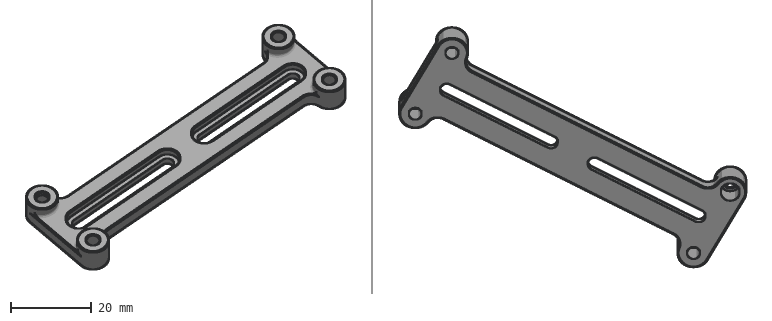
import cadquery as cq
import math

length = 87.4
width = 27.1
height = 7.0

bar_width = 15.0
bar_thickness = 4.0
boss_diameter = 8.0
hole_diameter = 3.2
edge_chamfer = 0.3
wide_bore_diameter = 4.7
wide_bore_roof = 1.2
boss_foot_radius = 1.0
neck_radius = 3.0

slot_width = 3.4
recess_width = 6.1
recess_depth = 2.0
slot_run = 29.7
slot_center_y = 21.1

boss_radius = boss_diameter / 2
boss_x = width / 2 - boss_radius
boss_y = length / 2 - boss_radius

neck_x = bar_width / 2 + neck_radius
neck_drop = math.sqrt((boss_radius + neck_radius) ** 2 - (neck_x - boss_x) ** 2)
neck_y = boss_y - neck_drop
touch_ratio = boss_radius / (boss_radius + neck_radius)
touch_x = boss_x + (neck_x - boss_x) * touch_ratio
touch_y = boss_y - neck_drop * touch_ratio


def neck_middle():
    """Midpoint of the neck arc in the +X +Y corner."""
    touch_angle = math.atan2(touch_y - neck_y, touch_x - neck_x)
    middle_angle = (touch_angle + math.pi) / 2
    return (
        neck_x + neck_radius * math.cos(middle_angle),
        neck_y + neck_radius * math.sin(middle_angle),
    )


def plate_outline():
    """Quarter of the plate; its corner runs to the boss axis, inside the boss."""
    return (
        cq.Workplane("XY")
        .lineTo(0, length / 2)
        .lineTo(boss_x, length / 2)
        .lineTo(boss_x, boss_y)
        .lineTo(touch_x, touch_y)
        .threePointArc(neck_middle(), (bar_width / 2, neck_y))
        .lineTo(bar_width / 2, 0)
        .close()
    )


def is_outer_edge(edge):
    """True for the quarter's edges that stay visible outside the boss."""
    center = edge.Center()
    is_end = abs(center.y - length / 2) < edge_chamfer
    is_side_or_neck = center.x > bar_width / 2 - edge_chamfer and center.y < touch_y
    return is_end or is_side_or_neck


def plate_quarter():
    rims = plate_outline().extrude(bar_thickness).faces("<Z or >Z").edges().filter(is_outer_edge)
    return rims.chamfer(edge_chamfer)


def boss():
    return (
        cq.Workplane("XY")
        .circle(boss_radius)
        .extrude(height)
        .faces("<Z or >Z")
        .edges()
        .chamfer(edge_chamfer)
        .translate((boss_x, boss_y, 0))
    )


def boss_foot():
    """Concave round from plate to boss, kept inside the chamfered rim of the plate top."""
    foot_radius = boss_radius + boss_foot_radius
    foot_top = bar_thickness + boss_foot_radius
    bend = boss_foot_radius * (1 - math.sqrt(0.5))
    foot = (
        cq.Workplane("XZ")
        .moveTo(0, bar_thickness)
        .lineTo(foot_radius, bar_thickness)
        .threePointArc((boss_radius + bend, bar_thickness + bend), (boss_radius, foot_top))
        .lineTo(0, foot_top)
        .close()
        .revolve(360, (0, 0, 0), (0, 1, 0))
        .translate((boss_x, boss_y, 0))
    )
    inside_rim = plate_outline().offset2D(-edge_chamfer).extrude(height)
    return foot.intersect(inside_rim)


def screw_hole_cutter():
    hole_radius = hole_diameter / 2
    mouth_radius = hole_radius + edge_chamfer
    return (
        cq.Workplane("XZ")
        .lineTo(hole_radius, 0)
        .lineTo(hole_radius, height - edge_chamfer)
        .lineTo(mouth_radius, height)
        .lineTo(0, height)
        .close()
        .revolve(360, (0, 0, 0), (0, 1, 0))
        .translate((boss_x, boss_y, 0))
    )


def wide_bore_cutter():
    """Wider bore from below in the -X -Y boss; a thin roof keeps the screw hole size."""
    return (
        cq.Workplane("XY")
        .center(-boss_x, -boss_y)
        .circle(wide_bore_diameter / 2)
        .extrude(height - wide_bore_roof)
    )


def slots(slot_size, bottom, top, taper=0):
    """Round-ended bodies at both slot places; all sizes share the same end centers."""
    return (
        cq.Workplane("XY", origin=(0, 0, bottom))
        .pushPoints([(0, -slot_center_y), (0, slot_center_y)])
        .slot2D(slot_run + slot_size, slot_size, 90)
        .extrude(top - bottom, taper=taper)
    )


def recess_cutter():
    """Wide recesses, each with a 45 degree chamfered mouth at the plate top."""
    step = bar_thickness - recess_depth
    mouth_bottom = bar_thickness - edge_chamfer
    mouths = slots(recess_width, mouth_bottom, bar_thickness, taper=-45)
    return slots(recess_width, step, bar_thickness).union(mouths)


quarter = plate_quarter().union(boss()).union(boss_foot()).cut(screw_hole_cutter())
half = quarter.union(quarter.mirror("YZ"))
body = half.union(half.mirror("XZ"))
body = body.cut(wide_bore_cutter())
result = body.cut(slots(slot_width, 0, bar_thickness)).cut(recess_cutter()).clean()